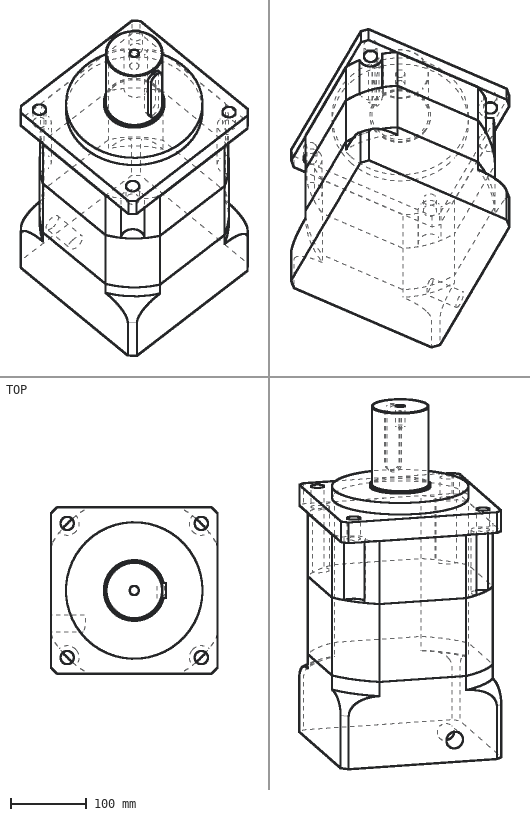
import cadquery as cq
import math

width = 220.0
half_width = width / 2
flange_corner_diameter = 299.5
body_corner_diameter = 250.0
flange_inset = 0.5

shoulder_z = 96.5
adapter_top = 116.0
ring_top = 222.0
flange_bottom = 307.5
flange_top = 335.5
pilot_top = 351.5
collar_top = 354.0
shaft_top = 460.5

pilot_diameter = 180.0
collar_diameter = 80.0
shaft_diameter = 75.0
shaft_chamfer = 1.0
center_hole_diameter = 12.0
center_hole_depth = 27.5
drill_point_angle = 118.0

bolt_spacing = 177.0
bolt_hole_diameter = 17.5
relief_diameter = 31.5

key_width = 20.0
key_length = 90.3
key_center_z = 408.5
key_seat_x = 30.0
key_top_x = 42.0

access_diameter = 22.5
access_y = -43.7
access_z = 30.0
access_depth = 46.0
access_end_radius = 33.5
access_end_y = -40.5


def cylinder(diameter, bottom, top):
    return cq.Workplane("XY").workplane(offset=bottom).circle(diameter / 2).extrude(top - bottom)


def square_block(side, bottom, top, corner_diameter):
    """Square block whose four corners lie on one circle about the axis."""
    block = cq.Workplane("XY").workplane(offset=bottom).rect(side, side).extrude(top - bottom)
    return block.intersect(cylinder(corner_diameter, bottom, top))


def at_bolts(diameter, bottom, top):
    return (
        cq.Workplane("XY")
        .workplane(offset=bottom)
        .rect(bolt_spacing, bolt_spacing, forConstruction=True)
        .vertices()
        .circle(diameter / 2)
        .extrude(top - bottom)
    )


def make_key():
    """Key with half-round ends, lying along the shaft on its +X side."""
    return (
        cq.Workplane("YZ", origin=(key_seat_x, 0, key_center_z))
        .slot2D(key_length, key_width, 90)
        .extrude(key_top_x - key_seat_x)
    )


def center_hole():
    """Blind hole with a drill point in the end of the shaft."""
    radius = center_hole_diameter / 2
    point_depth = radius / math.tan(math.radians(drill_point_angle / 2))
    full_depth_z = shaft_top - center_hole_depth
    return (
        cq.Workplane("XZ")
        .moveTo(0, shaft_top)
        .lineTo(radius, shaft_top)
        .lineTo(radius, full_depth_z)
        .lineTo(0, full_depth_z - point_depth)
        .close()
        .revolve(360, (0, 0, 0), (0, 1, 0))
    )


def make_output_housing():
    """Output shaft, pilot, flange and relieved housing in one piece."""
    flange_width = width - 2 * flange_inset
    housing = square_block(width, ring_top, flange_bottom, body_corner_diameter)
    housing = housing.cut(at_bolts(relief_diameter, ring_top, flange_bottom))
    flange = square_block(flange_width, flange_bottom, flange_top, flange_corner_diameter)
    flange = flange.cut(at_bolts(bolt_hole_diameter, flange_bottom, flange_top))
    pilot = cylinder(pilot_diameter, flange_top, pilot_top)
    collar = cylinder(collar_diameter, pilot_top, collar_top)
    shaft = cylinder(shaft_diameter, collar_top, shaft_top).faces(">Z").chamfer(shaft_chamfer)
    body = housing.union(flange).union(pilot).union(collar).union(shaft)
    return body.cut(center_hole()).cut(make_key())


def make_ring():
    """Plain gear ring between the housing and the adapter."""
    return square_block(width, adapter_top, ring_top, body_corner_diameter)


def access_hole():
    """Blind side hole from -X, closed by a concave wall with a vertical axis."""
    bore = (
        cq.Workplane("YZ", origin=(-half_width, access_y, access_z))
        .circle(access_diameter / 2)
        .extrude(access_depth + access_end_radius)
    )
    end_x = access_depth - half_width - access_end_radius
    end_wall = cylinder(2 * access_end_radius, 0, shoulder_z).translate((end_x, access_end_y, 0))
    return bore.intersect(end_wall)


def make_adapter():
    """Motor adapter: wide foot with rounded shoulders under a slimmer neck."""
    shoulder_radius = (flange_corner_diameter - body_corner_diameter) / 2
    foot_round = cylinder(flange_corner_diameter, 0, shoulder_z).faces(">Z").edges().fillet(shoulder_radius)
    foot = cq.Workplane("XY").rect(width, width).extrude(shoulder_z).intersect(foot_round)
    neck = square_block(width, shoulder_z, adapter_top, body_corner_diameter)
    return foot.union(neck).cut(access_hole())


key = make_key()
output_housing = make_output_housing()
ring = make_ring()
adapter = make_adapter()

result = cq.Compound.makeCompound([output_housing.val(), key.val(), ring.val(), adapter.val()])